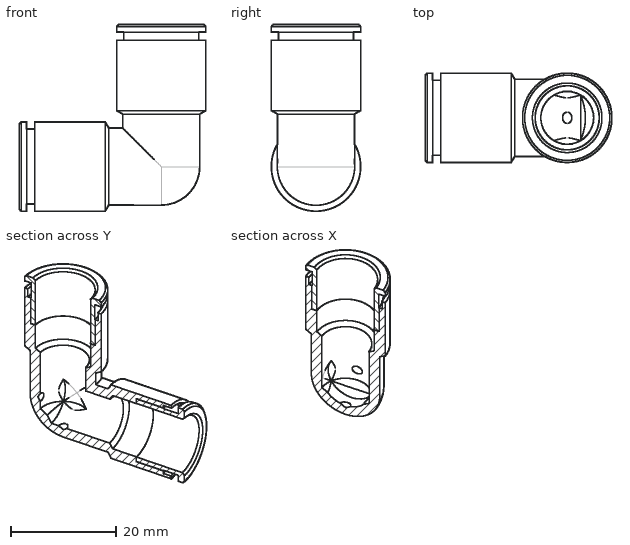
import cadquery as cq
import math


overall_length = 35.5
sleeve_diameter = 17.0
arm_length = overall_length - sleeve_diameter / 2

neck_diameter = 14.7
sleeve_start_depth = 2.98
sleeve_end_depth = 17.05
sleeve_flare_length = 0.67

mouth_diameter = 15.55
mouth_depth = 1.78
tube_bore_diameter = 12.15
flow_bore_diameter = 10.0
drill_point_angle = 118.0
drill_tip_reach = 5.55
seat_depth = 15.98

collar_stem_diameter = 14.3
collar_bore_diameter = 12.2
collar_mouth_diameter = 13.2
collar_depth = 10.65
flange_thickness = 1.45
flange_chamfer = 0.43

sleeve_radius = sleeve_diameter / 2
neck_radius = neck_diameter / 2
mouth_radius = mouth_diameter / 2
stem_radius = collar_stem_diameter / 2
collar_bore_radius = collar_bore_diameter / 2
collar_mouth_radius = collar_mouth_diameter / 2
tube_bore_radius = tube_bore_diameter / 2
flow_bore_radius = flow_bore_diameter / 2
sleeve_top = arm_length - sleeve_start_depth
sleeve_bottom = arm_length - sleeve_end_depth
mouth_bottom = sleeve_top - mouth_depth
collar_bottom = arm_length - collar_depth
seat_top = arm_length - seat_depth
drill_slope = math.tan(math.radians(drill_point_angle / 2))
seat_bottom = seat_top - (tube_bore_radius - flow_bore_radius) / drill_slope
drill_cone_height = flow_bore_radius / drill_slope
flow_bore_bottom = drill_cone_height - drill_tip_reach

ARM_TURNS = (0, -90)


def revolve_profile(points):
    """Revolve a closed (radius, height) profile about the Z axis."""
    return cq.Workplane("XZ").polyline(points).close().revolve(360, (0, 0), (0, 1))


def place_on_arm(part, turn):
    return part.rotate((0, 0, 0), (0, 1, 0), turn)


def make_arm_exterior():
    """Neck flaring into the wider sleeve of one arm, without its bore."""
    return revolve_profile([
        (0, 0),
        (neck_radius, 0),
        (neck_radius, sleeve_bottom),
        (sleeve_radius, sleeve_bottom + sleeve_flare_length),
        (sleeve_radius, sleeve_top),
        (0, sleeve_top),
    ])


def make_arm_cavity():
    """Open mouth, collar recess, tube bore, tapered seat and flow bore with a drill point."""
    return revolve_profile([
        (0, -drill_tip_reach),
        (flow_bore_radius, flow_bore_bottom),
        (flow_bore_radius, seat_bottom),
        (tube_bore_radius, seat_top),
        (tube_bore_radius, collar_bottom),
        (stem_radius, collar_bottom),
        (stem_radius, mouth_bottom),
        (mouth_radius, mouth_bottom),
        (mouth_radius, sleeve_top),
        (0, sleeve_top),
    ])


def make_housing():
    """Two arms joined by a spherical corner, with both cavities cut through to each other."""
    body = cq.Workplane("XY").sphere(neck_radius)
    for turn in ARM_TURNS:
        body = body.union(place_on_arm(make_arm_exterior(), turn))
    for turn in ARM_TURNS:
        body = body.cut(place_on_arm(make_arm_cavity(), turn))
    return body


def make_collar():
    """Release collar on the +Z arm: a stem in the recess and a flange outside the sleeve."""
    flange_bottom = arm_length - flange_thickness
    mouth_chamfer = collar_mouth_radius - collar_bore_radius
    return revolve_profile([
        (collar_bore_radius, collar_bottom),
        (stem_radius, collar_bottom),
        (stem_radius, flange_bottom),
        (sleeve_radius, flange_bottom),
        (sleeve_radius, arm_length - flange_chamfer),
        (sleeve_radius - flange_chamfer, arm_length),
        (collar_mouth_radius, arm_length),
        (collar_bore_radius, arm_length - mouth_chamfer),
    ])


housing = make_housing()
collars = [place_on_arm(make_collar(), turn).val() for turn in ARM_TURNS]

result = cq.Compound.makeCompound([housing.val(), *collars])